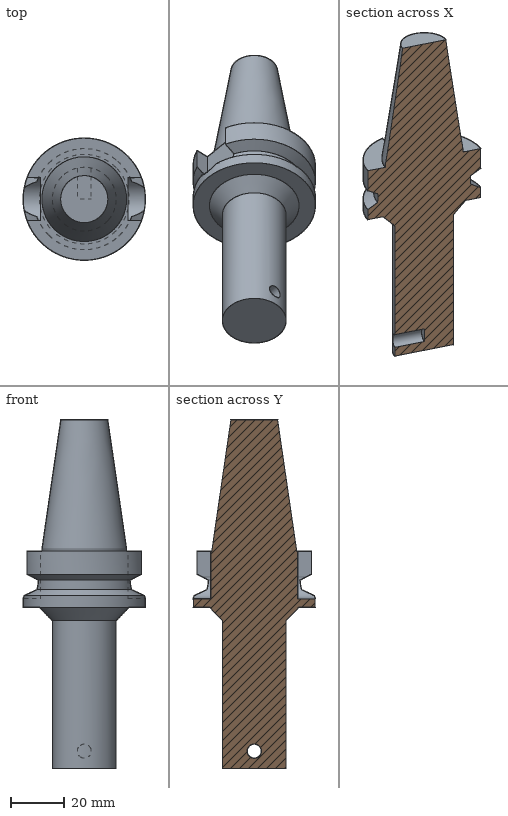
import cadquery as cq

total_height = 130.9
shank_diameter = 24.0
shank_length = 55.5

neck_top_diameter = 33.6

flange_diameter = 46.0
groove_diameter = 38.0
flange_bottom = 60.5
groove_lower_edge = 64.9
groove_floor_bottom = 67.2
groove_floor_top = 70.7
groove_upper_edge = groove_floor_top + groove_floor_bottom - groove_lower_edge
flange_top = 81.5

taper_diameter = 31.8
taper_base = 82.5
taper_ratio = 7 / 24
taper_tip_diameter = taper_diameter - taper_ratio * (total_height - taper_base)

slot_width = 16.1
slot_floor_distance = 16.4
slot_bottom = 63.7

screw_hole_diameter = 5.2
screw_hole_height = 6.5
screw_hole_depth = shank_diameter / 2


def make_body():
    """Revolve the half profile of the holder around Z."""
    shank_radius = shank_diameter / 2
    flange_radius = flange_diameter / 2
    groove_radius = groove_diameter / 2
    taper_radius = taper_diameter / 2
    profile = [
        (0, 0),
        (shank_radius, 0),
        (shank_radius, shank_length),
        (neck_top_diameter / 2, flange_bottom),
        (flange_radius, flange_bottom),
        (flange_radius, groove_lower_edge),
        (groove_radius, groove_floor_bottom),
        (groove_radius, groove_floor_top),
        (flange_radius, groove_upper_edge),
        (flange_radius, flange_top),
        (taper_radius, flange_top),
        (taper_radius, taper_base),
        (taper_tip_diameter / 2, total_height),
        (0, total_height),
    ]
    return cq.Workplane("XZ").polyline(profile).close().revolve(360, (0, 0), (0, 1))


def make_drive_slot(side):
    """Cutter for one drive slot; side is -1 for -X and +1 for +X."""
    half_width = slot_width / 2
    arc_center_height = slot_bottom + half_width
    return (
        cq.Workplane("YZ", origin=(side * slot_floor_distance, 0, 0))
        .moveTo(-half_width, flange_top)
        .lineTo(-half_width, arc_center_height)
        .threePointArc((0, slot_bottom), (half_width, arc_center_height))
        .lineTo(half_width, flange_top)
        .close()
        .extrude(side * flange_diameter / 2)
    )


def make_screw_hole():
    """Cutter for the blind screw hole, running inward from the +Y side."""
    return (
        cq.Workplane("XZ", origin=(0, shank_diameter / 2, screw_hole_height))
        .circle(screw_hole_diameter / 2)
        .extrude(screw_hole_depth)
    )


result = make_body()
for side in (-1, 1):
    result = result.cut(make_drive_slot(side))
result = result.cut(make_screw_hole())